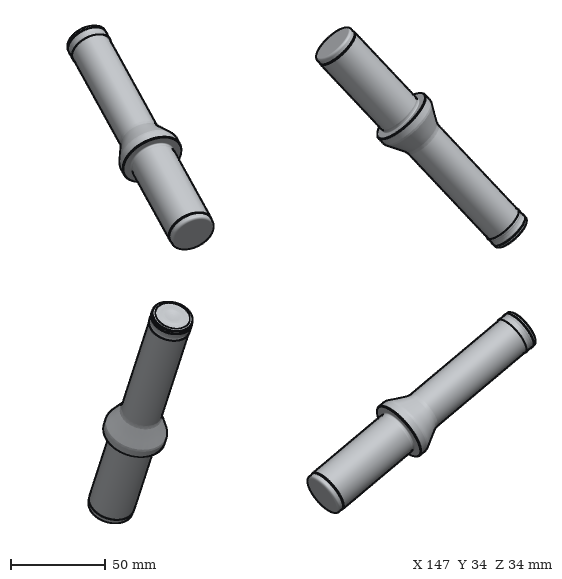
import cadquery as cq

TOTAL_LENGTH = 147.0
HEAD_LENGTH = 7.6

STEM_RADIUS = 22.0 / 2
COLLAR_RADIUS = 34.0 / 2
NECK_RADIUS = 24.5 / 2
SHANK_RADIUS = 25.0 / 2
FLARE_START = 74.0
FLARE_END = 85.8
COLLAR_END = 91.0
NECK_END = 92.3
SHANK_START = 93.2
SHANK_END = 143.0
TAIL_START = 143.6
FLARE_ROOT_FILLET = 4.9
FLARE_RIM_FILLET = 3.0
COLLAR_CHAMFER = 0.5
TAIL_FILLET = 1.3
NECK_ROOT_FILLET = 0.6

LAND_RADIUS = 11.3
FRONT_BAND_RADIUS = 11.2
GROOVE_DEPTH = 0.2
GROOVE_RADIUS = LAND_RADIUS - GROOVE_DEPTH
FRONT_BAND_START = 0.9
FRONT_BAND_END = 2.2
FRONT_LAND_START = 2.6
FRONT_LAND_END = 3.5
GROOVE_START = 4.4
GROOVE_END = 5.9
REAR_LAND_START = 6.6

DISH_DEPTH = 0.7
DISH_STEP_DEPTH = 0.65
DISH_FLOOR_RADIUS = 0.7
DISH_STEP_RADIUS = 1.8
DISH_SLOPE_RADIUS = 3.0
DISH_SLOPE_DEPTH = 0.41
DISH_RIM_RADIUS = 4.4
RING_RADIUS = 5.6
VALLEY_RADIUS = 8.1
VALLEY_DEPTH = 0.3
VALLEY_MIDDLE_RADIUS = 6.9
VALLEY_MIDDLE_DEPTH = 0.24
CREST_RADIUS = 9.4
CREST_DEPTH = 0.1
FACE_EDGE_RADIUS = 10.7
FACE_EDGE_DEPTH = 0.5


def revolve_about_x(outline):
    """Turn a closed (x, radius) sketch about the X axis."""
    return outline.close().revolve(360, (0, 0, 0), (1, 0, 0))


def circles_at(x, radius):
    """Select circular edges centred on the axis near x, with the given radius."""
    tolerance = 0.01

    def matches(edge):
        return abs(edge.Center().x - x) < tolerance and abs(edge.radius() - radius) < tolerance

    return matches


def round_circle(body, x, radius, fillet):
    """Fillet the circular edge of a turned body at x with the given radius."""
    return body.edges("%CIRCLE").filter(circles_at(x, radius)).fillet(fillet)


def make_head():
    outline = (
        cq.Workplane("XY")
        .moveTo(HEAD_LENGTH, 0)
        .lineTo(DISH_DEPTH, 0)
        .lineTo(DISH_DEPTH, DISH_FLOOR_RADIUS)
        .lineTo(DISH_STEP_DEPTH, DISH_STEP_RADIUS)
        .lineTo(DISH_SLOPE_DEPTH, DISH_SLOPE_RADIUS)
        .lineTo(0, DISH_RIM_RADIUS)
        .lineTo(0, RING_RADIUS)
        .lineTo(VALLEY_MIDDLE_DEPTH, VALLEY_MIDDLE_RADIUS)
        .lineTo(VALLEY_DEPTH, VALLEY_RADIUS)
        .lineTo(CREST_DEPTH, CREST_RADIUS)
        .lineTo(FACE_EDGE_DEPTH, FACE_EDGE_RADIUS)
        .lineTo(FRONT_BAND_START, FRONT_BAND_RADIUS)
        .lineTo(FRONT_BAND_END, FRONT_BAND_RADIUS)
        .lineTo(FRONT_LAND_START, LAND_RADIUS)
        .lineTo(FRONT_LAND_END, LAND_RADIUS)
        .lineTo(GROOVE_START, GROOVE_RADIUS)
        .lineTo(GROOVE_END, GROOVE_RADIUS)
        .lineTo(REAR_LAND_START, LAND_RADIUS)
        .lineTo(HEAD_LENGTH, LAND_RADIUS)
    )
    return revolve_about_x(outline)


def make_holder():
    outline = (
        cq.Workplane("XY")
        .moveTo(HEAD_LENGTH, 0)
        .lineTo(HEAD_LENGTH, STEM_RADIUS)
        .lineTo(FLARE_START, STEM_RADIUS)
        .lineTo(FLARE_END, COLLAR_RADIUS)
        .lineTo(COLLAR_END, COLLAR_RADIUS)
        .lineTo(COLLAR_END, NECK_RADIUS)
        .lineTo(NECK_END, NECK_RADIUS)
        .lineTo(SHANK_START, SHANK_RADIUS)
        .lineTo(SHANK_END, SHANK_RADIUS)
        .lineTo(TAIL_START, NECK_RADIUS)
        .lineTo(TOTAL_LENGTH, NECK_RADIUS)
        .lineTo(TOTAL_LENGTH, 0)
    )
    body = revolve_about_x(outline)
    body = round_circle(body, FLARE_START, STEM_RADIUS, FLARE_ROOT_FILLET)
    body = round_circle(body, FLARE_END, COLLAR_RADIUS, FLARE_RIM_FILLET)
    body = round_circle(body, TOTAL_LENGTH, NECK_RADIUS, TAIL_FILLET)
    body = round_circle(body, COLLAR_END, NECK_RADIUS, NECK_ROOT_FILLET)
    collar_edge = body.edges("%CIRCLE").filter(circles_at(COLLAR_END, COLLAR_RADIUS))
    return collar_edge.chamfer(COLLAR_CHAMFER)


head = make_head()
holder = make_holder()

result = cq.Compound.makeCompound([head.val(), holder.solids().val()])